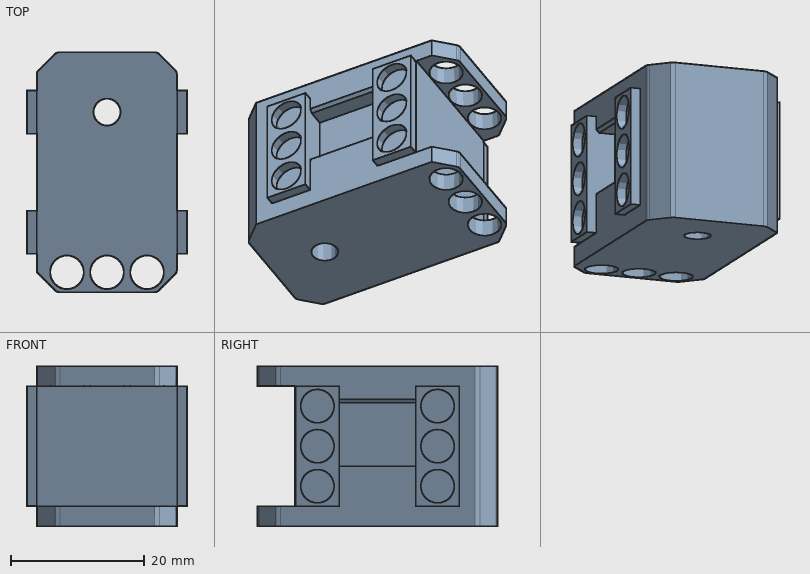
import cadquery as cq

body_width = 21.0
body_length = 36.0
body_height = 24.0
corner_chamfer = 3.0
corner_radius = 1.0

flange_thickness = 3.0
core_front_y = -12.4
core_height = body_height - 2 * flange_thickness

socket_diameter = 5.0
socket_pitch = 6.0
flange_socket_y = -15.0

bore_diameter = 4.0
bore_y = 9.0

pad_thickness = 1.5
pad_length = 6.5
pad_spacing = 18.0

recess_depth = 3.0
recess_top_z = 7.0
recess_bottom_z = -3.0
recess_lip = 0.5
recess_floor_drop = 2.85
recess_length = pad_spacing - pad_length

half_width = body_width / 2
half_length = body_length / 2
socket_offsets = [-socket_pitch, 0.0, socket_pitch]


def make_block():
    """Full-height block with chamfered vertical corners."""
    block = cq.Workplane("XY").box(body_width, body_length, body_height)
    block = block.edges("|Z").chamfer(corner_chamfer)
    rounded_edges = block.edges("|Z").edges(">Y or <Y or >X")
    return block.newObject(rounded_edges.vals()).fillet(corner_radius)


def make_fork_gap():
    """Clearance between the two flanges, in front of the core."""
    gap_length = core_front_y + half_length
    gap = cq.Workplane("XY").box(body_width, gap_length, core_height)
    return gap.translate((0, core_front_y - gap_length / 2, 0))


def make_flange_sockets():
    """Row of sockets through both flanges."""
    points = [(x, flange_socket_y) for x in socket_offsets]
    sockets = cq.Workplane("XY").pushPoints(points).circle(socket_diameter / 2)
    return sockets.extrude(body_height / 2, both=True)


def make_bore():
    """Vertical bore through the whole block."""
    bore = cq.Workplane("XY").center(0, bore_y).circle(bore_diameter / 2)
    return bore.extrude(body_height / 2, both=True)


def make_pad(centre_y):
    """Pad on the +X side with a column of sockets as deep as the pad."""
    pad = cq.Workplane("YZ", origin=(half_width, centre_y, 0))
    pad = pad.rect(pad_length, core_height).extrude(pad_thickness)
    points = [(0, z) for z in socket_offsets]
    sockets = cq.Workplane("YZ", origin=(half_width, centre_y, 0))
    sockets = sockets.pushPoints(points).circle(socket_diameter / 2).extrude(pad_thickness)
    return pad.cut(sockets)


def make_recess():
    """Pocket in the +X side, undercut along its floor."""
    inner_x = half_width - recess_depth
    profile = [
        (half_width, recess_top_z),
        (half_width - recess_lip, recess_top_z - recess_lip),
        (inner_x, recess_top_z - recess_lip),
        (inner_x, recess_bottom_z - recess_floor_drop),
        (half_width, recess_bottom_z),
    ]
    return cq.Workplane("XZ").polyline(profile).close().extrude(recess_length / 2, both=True)


def on_both_sides(feature):
    """The feature together with its mirror image across the YZ plane."""
    return [feature, feature.mirror("YZ")]


result = make_block()
for cutter in [make_fork_gap(), make_flange_sockets(), make_bore()]:
    result = result.cut(cutter)
for pad_y in [-pad_spacing / 2, pad_spacing / 2]:
    for pad in on_both_sides(make_pad(pad_y)):
        result = result.union(pad)
for recess in on_both_sides(make_recess()):
    result = result.cut(recess)